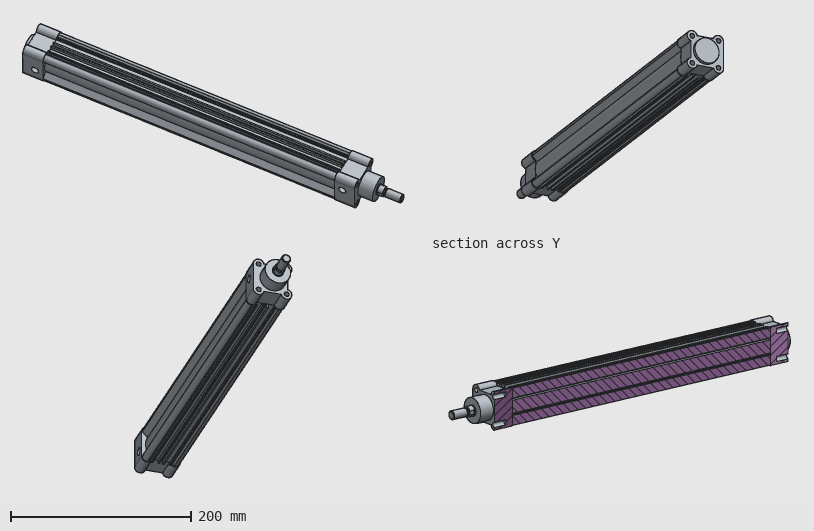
import cadquery as cq
import math


REAR_BOSS_LENGTH = 4.0
COVER_LENGTH = 25.0
REAR_FACE = REAR_BOSS_LENGTH
FRONT_FACE = 418.0
BARREL_START = REAR_FACE + COVER_LENGTH
BARREL_END = FRONT_FACE - COVER_LENGTH
OVERALL_LENGTH = 466.0

COVER_SIZE = 45.0
COVER_HALF = COVER_SIZE / 2
SCREW_OFFSET = 16.5
LOBE_RADIUS = COVER_HALF - SCREW_OFFSET
CORE_HALF = 17.5
SCREW_HOLE_RADIUS = 3.0
SCREW_HOLE_DEPTH = 16.0
PORT_RADIUS = 4.45
PORT_DEPTH = 9.5
PORT_FROM_FACE = 15.5
PORT_OFFSET = 4.5
BOSS_RADIUS = 15.0
GUIDE_LENGTH = 18.0
COLLAR_RADIUS = 6.5
COLLAR_LENGTH = 1.0

BARREL_HALF = 22.0
CORNER_RADIUS = BARREL_HALF - SCREW_OFFSET
CORNER_EDGE = 15.5
WALL_RADIUS = 18.0
CENTRE_GROOVE = 1.0
FIN_INNER = 2.0
FIN_OUTER = 3.5
LIP_INNER = 9.5
LIP_ROOT = 10.5
LIP_OUTER = 12.0
LIP_THICKNESS = 1.5
LIP_BEVEL = 0.5

ROD_RADIUS = 6.0
ROD_SHOULDER = 444.0
FLATS_START = 438.5
FLATS_HALF = 5.5
NECK_RADIUS = 4.45
NECK_LENGTH = 1.5
THREAD_RADIUS = 5.0
THREAD_LEAD_IN = 1.5
TIP_CHAMFER = 1.0


def yz_plane(x):
    """Sketch plane facing +X, with sketch x along Y and sketch y along Z."""
    return cq.Workplane("YZ", origin=(x, 0, 0))


def cover_block(x_start):
    """Cover with four screw lobes, a flat port side at -Y and recessed flats elsewhere."""
    rise = CORE_HALF - SCREW_OFFSET
    lobe_edge = SCREW_OFFSET - math.sqrt(LOBE_RADIUS**2 - rise**2)
    diagonal = LOBE_RADIUS * math.sqrt(0.5)
    lobe_far = SCREW_OFFSET + diagonal
    return (
        yz_plane(x_start)
        .moveTo(-COVER_HALF, -SCREW_OFFSET)
        .lineTo(-COVER_HALF, SCREW_OFFSET)
        .threePointArc((diagonal - SCREW_OFFSET, lobe_far), (-lobe_edge, CORE_HALF))
        .lineTo(lobe_edge, CORE_HALF)
        .threePointArc((lobe_far, lobe_far), (CORE_HALF, lobe_edge))
        .lineTo(CORE_HALF, -lobe_edge)
        .threePointArc((lobe_far, -lobe_far), (lobe_edge, -CORE_HALF))
        .lineTo(-lobe_edge, -CORE_HALF)
        .threePointArc((diagonal - SCREW_OFFSET, -lobe_far), (-COVER_HALF, -SCREW_OFFSET))
        .close()
        .extrude(COVER_LENGTH)
    )


def screw_holes(x_face, inward):
    """Four blind screw holes, running from a mounting face along X in the inward direction."""
    return (
        yz_plane(x_face)
        .rect(2 * SCREW_OFFSET, 2 * SCREW_OFFSET, forConstruction=True)
        .vertices()
        .circle(SCREW_HOLE_RADIUS)
        .extrude(inward * SCREW_HOLE_DEPTH)
    )


def port(x, z):
    """Blind air port in the -Y side of a cover."""
    return (
        cq.Workplane("XZ", origin=(x, -COVER_HALF, z))
        .circle(PORT_RADIUS)
        .extrude(-PORT_DEPTH)
    )


def make_rear_cover():
    boss = yz_plane(0).circle(BOSS_RADIUS).extrude(REAR_BOSS_LENGTH)
    return (
        cover_block(REAR_FACE)
        .union(boss)
        .cut(screw_holes(REAR_FACE, 1))
        .cut(port(REAR_FACE + PORT_FROM_FACE, -PORT_OFFSET))
    )


def make_front_cover():
    guide = yz_plane(FRONT_FACE).circle(BOSS_RADIUS).extrude(GUIDE_LENGTH)
    collar = yz_plane(FRONT_FACE + GUIDE_LENGTH).circle(COLLAR_RADIUS).extrude(COLLAR_LENGTH)
    return (
        cover_block(BARREL_END)
        .union(guide)
        .union(collar)
        .cut(screw_holes(FRONT_FACE, -1))
        .cut(port(FRONT_FACE - PORT_FROM_FACE, PORT_OFFSET))
    )


def make_barrel():
    """Extrusion with screw corners, rounded side walls, and fins and lips above and below."""
    step = BARREL_HALF - CORNER_EDGE
    wall_z = (math.sqrt(2 * WALL_RADIUS**2 - step**2) - step) / 2
    wall_y = wall_z + step
    corner_mid = SCREW_OFFSET + CORNER_RADIUS * math.sqrt(0.5)
    notch_z = LIP_OUTER + step
    quarter = (
        yz_plane(BARREL_START)
        .moveTo(0, 0)
        .lineTo(0, CORE_HALF - CENTRE_GROOVE)
        .lineTo(CENTRE_GROOVE, CORE_HALF)
        .lineTo(FIN_INNER, CORE_HALF)
        .lineTo(FIN_INNER, BARREL_HALF)
        .lineTo(FIN_OUTER, BARREL_HALF)
        .lineTo(FIN_OUTER, CORE_HALF)
        .lineTo(LIP_ROOT, CORE_HALF)
        .lineTo(LIP_ROOT, BARREL_HALF - LIP_THICKNESS)
        .lineTo(LIP_INNER, BARREL_HALF - LIP_THICKNESS)
        .lineTo(LIP_INNER, BARREL_HALF - LIP_BEVEL)
        .lineTo(LIP_ROOT, BARREL_HALF)
        .lineTo(LIP_OUTER, BARREL_HALF)
        .lineTo(LIP_OUTER, notch_z)
        .lineTo(CORNER_EDGE, BARREL_HALF)
        .lineTo(SCREW_OFFSET, BARREL_HALF)
        .threePointArc((corner_mid, corner_mid), (BARREL_HALF, SCREW_OFFSET))
        .lineTo(BARREL_HALF, CORNER_EDGE)
        .lineTo(wall_y, wall_z)
        .radiusArc((WALL_RADIUS, 0), WALL_RADIUS)
        .close()
        .extrude(BARREL_END - BARREL_START)
    )
    half = quarter.union(quarter.mirror("XZ"))
    return half.union(half.mirror("XY")).clean()


def make_rod():
    """Turned rod with two wrench flats, a shoulder, a neck and a plain cylinder for the thread."""
    rod_start = FRONT_FACE + GUIDE_LENGTH + COLLAR_LENGTH
    neck_end = ROD_SHOULDER + NECK_LENGTH
    turned = (
        cq.Workplane("XZ")
        .moveTo(rod_start, 0)
        .lineTo(rod_start, ROD_RADIUS)
        .lineTo(ROD_SHOULDER, ROD_RADIUS)
        .lineTo(ROD_SHOULDER, NECK_RADIUS)
        .lineTo(neck_end, NECK_RADIUS)
        .lineTo(neck_end + THREAD_LEAD_IN, THREAD_RADIUS)
        .lineTo(OVERALL_LENGTH - TIP_CHAMFER, THREAD_RADIUS)
        .lineTo(OVERALL_LENGTH, THREAD_RADIUS - TIP_CHAMFER)
        .lineTo(OVERALL_LENGTH, 0)
        .close()
        .revolve(360, (0, 0, 0), (1, 0, 0))
    )
    for side in (-1, 1):
        beside_flat = cq.Workplane("XY").box(
            ROD_SHOULDER - FLATS_START, ROD_RADIUS, 2 * ROD_RADIUS, centered=(False, True, True)
        )
        flat_centre = side * (FLATS_HALF + ROD_RADIUS / 2)
        turned = turned.cut(beside_flat.translate((FLATS_START, flat_centre, 0)))
    return turned


rear_cover = make_rear_cover()
barrel = make_barrel()
front_cover = make_front_cover()
rod = make_rod()

result = cq.Compound.makeCompound([rear_cover.val(), barrel.val(), front_cover.val(), rod.val()])